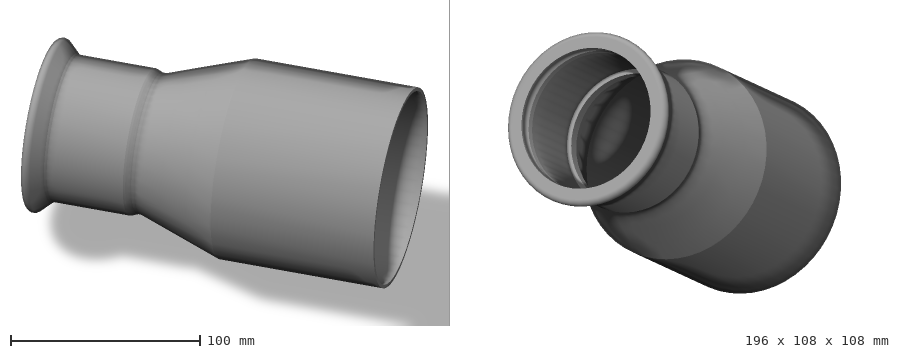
import cadquery as cq
import math

total_length = 196.0
bead_cone_end = 11.4
socket_start = 12.7
socket_end = 54.5
shoulder_top = 55.7
shoulder_bottom = 57.5
neck_start = 58.6
neck_end = 60.5
reducer_start = 61.3
reducer_end = 106.0
spigot_start = 106.6

bead_radius = 47.0
bead_face_radius = 44.1
socket_radius = 79.2 / 2
socket_bore_radius = 76.0 / 2
neck_radius = 38.0
neck_bore_radius = 35.5
spigot_radius = 108.0 / 2
reducer_end_radius = spigot_radius - 0.2

blend_rise = 0.5
shoulder_step = 0.4
neck_rise = 0.2

socket_wall = socket_radius - socket_bore_radius
spigot_wall = 2.0

bead_round = bead_radius - bead_face_radius
diagonal = math.sqrt(0.5)
bead_cone_start = bead_round * (1 + diagonal)
bead_cone_start_radius = bead_face_radius + bead_round * diagonal


def revolve_about_x(profile):
    return profile.close().revolve(360, (0, 0, 0), (1, 0, 0))


def outer_body():
    """Solid of revolution bounded by the outside of the fitting."""
    return revolve_about_x(
        cq.Workplane("XY")
        .lineTo(0, bead_face_radius)
        .threePointArc((bead_round, bead_radius), (bead_cone_start, bead_cone_start_radius))
        .lineTo(bead_cone_end, socket_radius + blend_rise)
        .lineTo(socket_start, socket_radius)
        .lineTo(socket_end, socket_radius)
        .lineTo(shoulder_top, socket_radius - shoulder_step)
        .lineTo(shoulder_bottom, neck_radius + shoulder_step)
        .lineTo(neck_start, neck_radius)
        .lineTo(neck_end, neck_radius)
        .lineTo(reducer_start, neck_radius + neck_rise)
        .lineTo(reducer_end, reducer_end_radius)
        .lineTo(spigot_start, spigot_radius)
        .lineTo(total_length, spigot_radius)
        .lineTo(total_length, 0)
    )


def through_bore():
    """Stepped bore: socket, neck, conical reducer and spigot."""
    return revolve_about_x(
        cq.Workplane("XY")
        .lineTo(0, socket_bore_radius)
        .lineTo(socket_end, socket_bore_radius)
        .lineTo(socket_end, neck_bore_radius)
        .lineTo(neck_end, neck_bore_radius)
        .lineTo(spigot_start, spigot_radius - spigot_wall)
        .lineTo(total_length, spigot_radius - spigot_wall)
        .lineTo(total_length, 0)
    )


def seal_groove():
    """Ring groove inside the bead, with a flank parallel to the bead cone."""
    return revolve_about_x(
        cq.Workplane("XY")
        .moveTo(socket_wall, 0)
        .lineTo(socket_wall, bead_radius - 2 * socket_wall)
        .lineTo(bead_cone_start - socket_wall / 2, bead_radius - 2 * socket_wall)
        .lineTo(bead_cone_end - socket_wall, socket_bore_radius + blend_rise)
        .lineTo(socket_start, socket_bore_radius)
        .lineTo(socket_start, 0)
    )


result = outer_body().cut(through_bore()).cut(seal_groove())